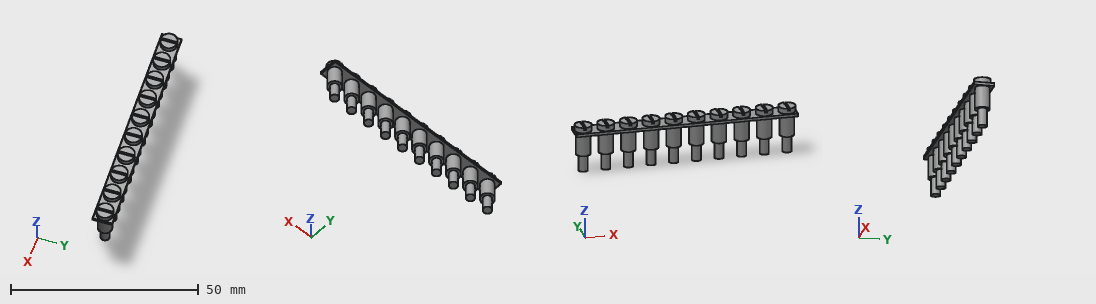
import cadquery as cq

STRIP_LENGTH = 60.6
STRIP_WIDTH = 5.5
STRIP_THICKNESS = 0.8

SCREW_COUNT = 10
SCREW_PITCH = 6.2

HEAD_DIAMETER = 4.6
HEAD_HEIGHT = 1.5
SLOT_WIDTH = 0.6
SLOT_DEPTH = 0.6

SLEEVE_DIAMETER = 4.0
SLEEVE_LENGTH = 6.0
SHANK_DIAMETER = 2.5
SHANK_LENGTH = 4.8

STRIP_TOP = STRIP_THICKNESS
HEAD_TOP = STRIP_TOP + HEAD_HEIGHT
SLEEVE_BOTTOM = -SLEEVE_LENGTH
SHANK_BOTTOM = SLEEVE_BOTTOM - SHANK_LENGTH


def cylinder(diameter, bottom, top):
    """Upright cylinder on the Z axis between two heights."""
    return cq.Workplane("XY").workplane(offset=bottom).circle(diameter / 2).extrude(top - bottom)


def make_strip():
    """Flat rectangular strip resting on Z = 0."""
    return cq.Workplane("XY").box(
        STRIP_LENGTH, STRIP_WIDTH, STRIP_THICKNESS, centered=(True, True, False)
    )


def make_slot():
    """Screwdriver slot across the head, running along Y."""
    return (
        cq.Workplane("XY")
        .workplane(offset=HEAD_TOP - SLOT_DEPTH)
        .rect(SLOT_WIDTH, HEAD_DIAMETER)
        .extrude(SLOT_DEPTH)
    )


def make_screw():
    """Slotted screw with its sleeve, running through the strip along Z."""
    head = cylinder(HEAD_DIAMETER, STRIP_TOP, HEAD_TOP).cut(make_slot())
    sleeve = cylinder(SLEEVE_DIAMETER, SLEEVE_BOTTOM, STRIP_TOP)
    shank = cylinder(SHANK_DIAMETER, SHANK_BOTTOM, SLEEVE_BOTTOM)
    return head.union(sleeve).union(shank)


screw = make_screw()
first_screw_x = -SCREW_PITCH * (SCREW_COUNT - 1) / 2

result = make_strip()
for index in range(SCREW_COUNT):
    result = result.union(screw.translate((first_screw_x + index * SCREW_PITCH, 0, 0)))